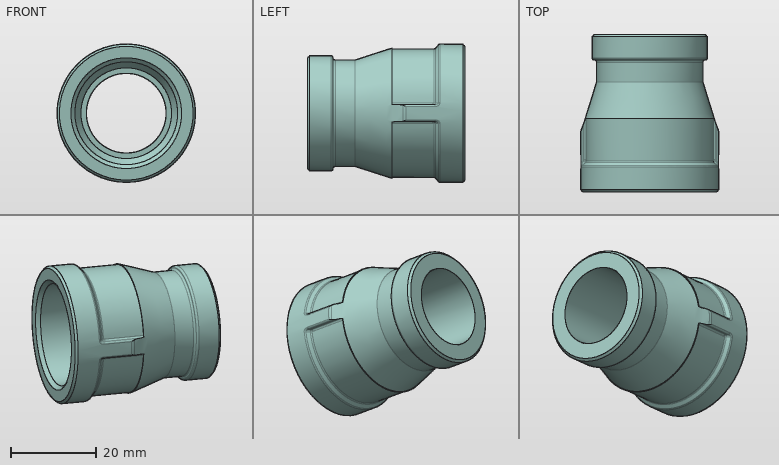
import cadquery as cq
import math

length = 37.0
large_collar_radius = 32.5 / 2
body_radius = 30.2 / 2
neck_radius = 25.0 / 2
small_collar_radius = 27.1 / 2
end_chamfer = 0.55

shoulder_start = 6.1
shoulder_end = 7.05
rib_cone_start = 14.2
relief_end = 17.2
cone_end = 25.83
neck_end = 30.45

rib_width = 4.0
edge_radius = 0.48
rib_end_blend = 2.45

small_bore_radius = 18.65 / 2
large_bore_radius = 24.12 / 2
mouth_radius = 25.97 / 2
seat_radius = 21.28 / 2
mouth_chamfer = mouth_radius - large_bore_radius
large_bore_depth = 11.95
seat_depth = 14.5

tolerance = 0.02

shoulder_height = large_collar_radius - body_radius
cone_slope = (large_collar_radius - neck_radius) / (cone_end - rib_cone_start)
neck_fillet = (small_collar_radius - neck_radius) / 2


def revolve_about_y(profile):
    """Revolve a half profile about Y, turned so that the seam stays clear of the ribs."""
    return profile.close().revolve(360, (0, 0, 0), (0, 1, 0)).rotate((0, 0, 0), (0, 1, 0), 90)


def small_end(profile):
    """Continue a profile from the end of the cone over the neck and small collar to the axis."""
    return (
        profile.lineTo(neck_radius, cone_end)
        .lineTo(neck_radius, neck_end)
        .radiusArc((neck_radius + neck_fillet, neck_end + neck_fillet), neck_fillet)
        .radiusArc((small_collar_radius, neck_end + 2 * neck_fillet), -neck_fillet)
        .lineTo(small_collar_radius, length - end_chamfer)
        .lineTo(small_collar_radius - end_chamfer, length)
        .lineTo(0, length)
    )


def large_end():
    """Start a profile on the axis and run it over the chamfer of the large collar."""
    return (
        cq.Workplane("XY")
        .lineTo(large_collar_radius - end_chamfer, 0)
        .lineTo(large_collar_radius, end_chamfer)
    )


def make_blank():
    """Solid of revolution whose collar radius is carried back until it meets the cone."""
    cone_angle = math.atan(cone_slope)
    blend_setback = rib_end_blend * math.tan(cone_angle / 2)
    blend_end = (
        large_collar_radius - blend_setback * math.sin(cone_angle),
        rib_cone_start + blend_setback * math.cos(cone_angle),
    )
    profile = (
        large_end()
        .lineTo(large_collar_radius, rib_cone_start - blend_setback)
        .radiusArc(blend_end, -rib_end_blend)
    )
    return revolve_about_y(small_end(profile))


def is_valley(edge):
    """True for the corner lines where a rib side runs into the sloped shoulder."""
    middle = edge.positionAt(0.5)
    on_rib_side = abs(abs(middle.z) - rib_width / 2) < tolerance
    return on_rib_side and middle.y < shoulder_end


def is_rim_or_foot(edge):
    """True for edges of the cleared ring that lie on the collar radius or on the body radius."""
    middle = edge.positionAt(0.5)
    radius = math.hypot(middle.x, middle.z)
    on_rim = abs(radius - large_collar_radius) < tolerance
    on_foot = abs(radius - body_radius) < tolerance
    between_ends = tolerance < middle.y < relief_end - tolerance
    on_seam = abs(middle.z) < tolerance and edge.geomType() == "LINE"
    return between_ends and (on_rim or on_foot) and not on_seam


def make_ribbed_drum():
    """Drum of collar radius, cleared to the body radius between two ribs that have rounded edges."""
    clearance_radius = large_collar_radius + shoulder_height
    drum = cq.Workplane("XZ").circle(large_collar_radius).extrude(-relief_end)
    ring = revolve_about_y(
        cq.Workplane("XY")
        .moveTo(body_radius, relief_end)
        .lineTo(body_radius, shoulder_end)
        .lineTo(clearance_radius, 2 * shoulder_start - shoulder_end)
        .lineTo(clearance_radius, relief_end)
    )
    rib_bar = cq.Workplane("XZ").rect(2 * clearance_radius, rib_width).extrude(-length)
    drum = drum.cut(ring.cut(rib_bar)).val()
    drum = drum.fillet(edge_radius, [edge for edge in drum.Edges() if is_valley(edge)])
    drum = drum.fillet(edge_radius, [edge for edge in drum.Edges() if is_rim_or_foot(edge)])
    return cq.Workplane(obj=drum)


def make_bore():
    """Large bore with a chamfered mouth, tapering to a flat seat around the small through bore."""
    profile = (
        cq.Workplane("XY")
        .lineTo(mouth_radius, 0)
        .lineTo(large_bore_radius, mouth_chamfer)
        .lineTo(large_bore_radius, large_bore_depth)
        .lineTo(seat_radius, seat_depth)
        .lineTo(small_bore_radius, seat_depth)
        .lineTo(small_bore_radius, length)
        .lineTo(0, length)
    )
    return revolve_about_y(profile)


blank = make_blank()
front_zone = cq.Workplane("XZ").circle(length).extrude(-relief_end)
body = blank.intersect(make_ribbed_drum()).union(blank.cut(front_zone))
result = body.cut(make_bore())